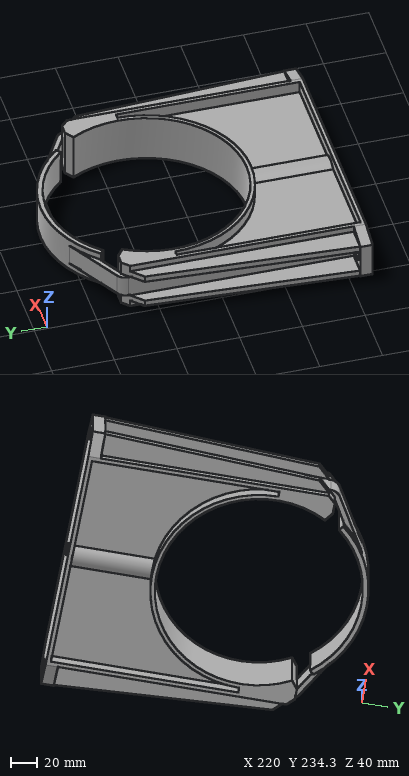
import cadquery as cq
import math


seat_y = 150.0
seat_radius = 80.0
seat_wall = 3.5

body_height = 40.0
body_half_width = 91.0
body_top_y = 193.8
wall = 3.5
web_height = 20.0
jaw_tip_x = 69.8
jaw_tip_y = seat_y + math.sqrt(seat_radius**2 - jaw_tip_x**2)
jaw_flat_inner_x = 76.5
jaw_flat_outer_x = 85.3

foot_half_width = 220.0 / 2
foot_depth = 9.8
foot_end_height = 29.3
flange_root_half_width = 109.5
flange_tip_half_width = 100.0
flange_gap = 18.7

hole_diameter = 9.4
side_hole_x = 100.7
screw_hole_depth = 46.9
boss_half_width = 9.0
boss_radius = math.hypot(web_height / 2, boss_half_width)

cap_outer_radius = 84.3
cap_height = 29.5
cap_half_angle = 50.0
strap_height = 17.8
strap_thickness = 4.7
strap_slope = 30.0
strap_corner_radius = 9.4
strap_root_y = 164.0


def centred_prism(outline, height):
    return outline.extrude(height / 2, both=True)


def disc(radius, height):
    return centred_prism(cq.Workplane("XY").center(0, seat_y).circle(radius), height)


def chamfer_y(x):
    """Height along Y of the 45 degree jaw chamfer at distance x from the centre plane."""
    return body_top_y - (x - jaw_flat_outer_x)


def make_body():
    half_outline = [
        (0, 0),
        (body_half_width, 0),
        (body_half_width, chamfer_y(body_half_width)),
        (jaw_flat_outer_x, body_top_y),
        (jaw_flat_inner_x, body_top_y),
        (jaw_tip_x, jaw_tip_y),
        (0, seat_y),
    ]
    half = centred_prism(cq.Workplane("XY").polyline(half_outline).close(), body_height)
    return half.union(half.mirror("YZ"))


def make_pockets():
    pocket_width = 2 * (body_half_width - wall)
    outline = cq.Workplane("XY").center(0, (wall + seat_y) / 2).rect(pocket_width, seat_y - wall)
    pockets = centred_prism(outline, body_height)
    web = cq.Workplane("XY").box(2 * body_half_width, 2 * seat_y, web_height)
    return pockets.cut(disc(seat_radius + seat_wall, body_height)).cut(web)


def make_boss():
    boss_length = seat_y - seat_radius
    return cq.Workplane("XZ").circle(boss_radius).extrude(-boss_length)


def make_foot():
    half_height = body_height / 2
    half_end = foot_end_height / 2
    outline = [
        (-body_half_width, half_height),
        (body_half_width, half_height),
        (foot_half_width, half_end),
        (foot_half_width, -half_end),
        (body_half_width, -half_height),
        (-body_half_width, -half_height),
        (-foot_half_width, -half_end),
        (-foot_half_width, half_end),
    ]
    foot = cq.Workplane("XZ").polyline(outline).close().extrude(-foot_depth)
    return foot.cut(make_pockets())


def make_flanges(side):
    outline = [
        (side * body_half_width, 0),
        (side * flange_root_half_width, 0),
        (side * flange_root_half_width, foot_depth),
        (side * flange_tip_half_width, chamfer_y(flange_tip_half_width)),
        (side * body_half_width, chamfer_y(body_half_width)),
    ]
    plates = centred_prism(cq.Workplane("XY").polyline(outline).close(), foot_end_height)
    gap = cq.Workplane("XY").box(2 * foot_half_width, 2 * body_top_y, flange_gap)
    return plates.cut(gap)


def make_cap():
    ring = disc(cap_outer_radius, cap_height).cut(disc(seat_radius, cap_height))
    reach = 2 * cap_outer_radius
    end_x = reach * math.tan(math.radians(cap_half_angle))
    sector = [(0, seat_y), (end_x, seat_y + reach), (-end_x, seat_y + reach)]
    return ring.intersect(centred_prism(cq.Workplane("XY").polyline(sector).close(), cap_height))


def strap_line_y(x, distance):
    """Y of the sloping strap line lying at the given distance from the seat axis."""
    slope = math.radians(strap_slope)
    return seat_y + distance / math.cos(slope) - x * math.tan(slope)


def make_strap(side):
    """Straight leg along the body wall, turning onto a slope tangent to the cap."""
    inner_distance = cap_outer_radius - strap_thickness
    inner_x = body_half_width - strap_thickness
    tangent_x = cap_outer_radius * math.sin(math.radians(strap_slope))
    tangent_y = strap_line_y(tangent_x, cap_outer_radius)
    inner_tangent_x = inner_distance * math.sin(math.radians(strap_slope))
    corner_y = strap_line_y(body_half_width, cap_outer_radius)
    outline = [
        (side * body_half_width, strap_root_y),
        (side * body_half_width, corner_y),
        (side * tangent_x, tangent_y),
        (side * inner_tangent_x, strap_line_y(inner_tangent_x, inner_distance)),
        (side * inner_x, strap_line_y(inner_x, inner_distance)),
        (side * inner_x, strap_root_y),
    ]
    strap = centred_prism(cq.Workplane("XY").polyline(outline).close(), strap_height)
    corner = cq.selectors.NearestToPointSelector((side * body_half_width, corner_y, 0))
    return strap.edges("|Z").edges(corner).fillet(strap_corner_radius)


def make_hole(x, depth):
    return cq.Workplane("XZ").center(x, 0).circle(hole_diameter / 2).extrude(-depth)


result = make_body().cut(make_pockets()).union(make_boss()).union(make_foot()).union(make_cap())
for side in (-1, 1):
    result = result.union(make_flanges(side)).union(make_strap(side))

result = result.cut(disc(seat_radius, body_height))
result = result.cut(make_hole(0, screw_hole_depth))
for side in (-1, 1):
    result = result.cut(make_hole(side * side_hole_x, foot_depth))